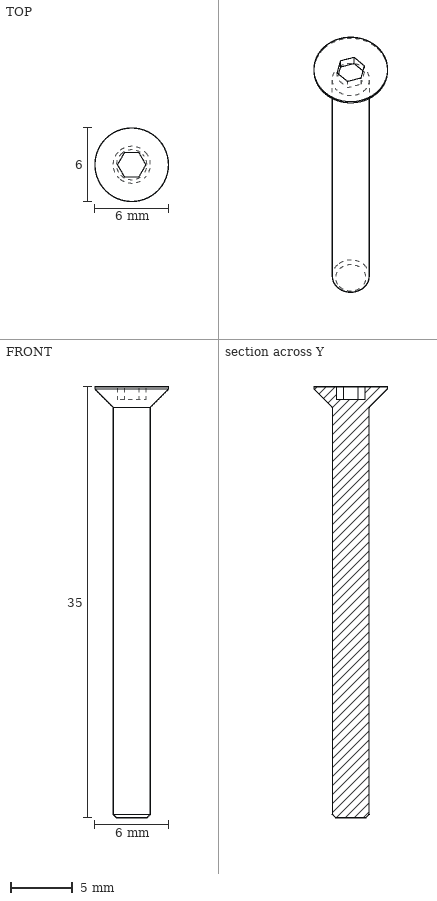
import cadquery as cq
import math

length = 35.0
head_diameter = 6.0
shank_diameter = 3.0
rim_height = 0.2
tip_chamfer = 0.28
socket_width = 2.0
socket_depth = 1.05

head_radius = head_diameter / 2
shank_radius = shank_diameter / 2
cone_height = head_radius - shank_radius
rim_bottom = length - rim_height
cone_bottom = rim_bottom - cone_height


def make_body():
    """Revolve the half profile of shank, cone and rim around Z."""
    return (
        cq.Workplane("XZ")
        .moveTo(0, 0)
        .lineTo(shank_radius - tip_chamfer, 0)
        .lineTo(shank_radius, tip_chamfer)
        .lineTo(shank_radius, cone_bottom)
        .lineTo(head_radius, rim_bottom)
        .lineTo(head_radius, length)
        .lineTo(0, length)
        .close()
        .revolve(360, (0, 0, 0), (0, 1, 0))
    )


def make_socket():
    """Flat-bottomed hexagon with two corners on the X axis."""
    corner_diameter = socket_width / math.cos(math.pi / 6)
    return (
        cq.Workplane("XY")
        .workplane(offset=length - socket_depth)
        .polygon(6, corner_diameter)
        .extrude(socket_depth)
    )


result = make_body().cut(make_socket())